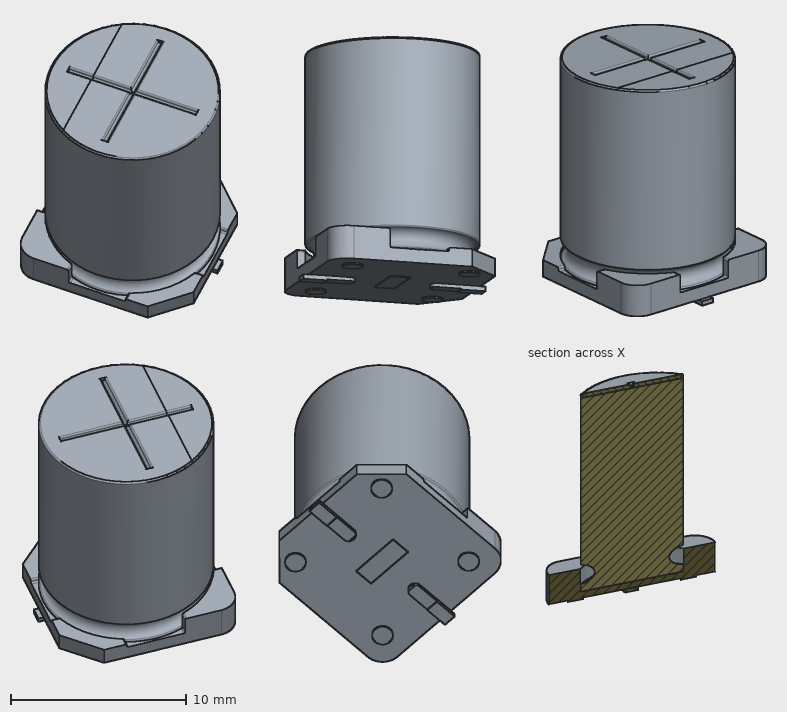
import cadquery as cq
import math

total_height = 13.5
pin_span = 10.9

can_diameter = 10.0
can_radius = can_diameter / 2
edge_radius = 0.1
can_bottom_z = 0.68
neck_z = 1.8
neck_radius = 4.5
neck_arc_radius = 0.62

base_width = 10.3
base_bottom_z = 0.27
base_top_z = 2.19
low_top_z = 1.3
notch_step = 0.23
notch_floor_z = low_top_z - notch_step
notch_width = 3.52
corner_radius = 1.2
corner_chamfer = 2.0

foot_diameter = 1.2
foot_offset = 3.5
foot_height = 0.1
pad_width = 1.2
pad_length = 3.0
pad_height = 0.05

vent_length = 8.0
vent_width = 0.24
vent_depth = 0.22

mark_edge_x = -2.5
mark_thickness = 0.27

pin_width = 0.8
pin_inner_x = 2.25
pin_step_x = 4.02
pin_step_height = 0.05
pin_bevel_length = 0.14
pin_bevel_height = 0.05


def make_half_recess(half_width, floor_z, rim_z, length):
    """Cutter for half of a recess, from y = 0 to its wall, that runs along X from x = 0.

    The floor corner is rounded and the wall rounds outward to the rim.
    """
    r = edge_radius
    mid_arc = r * math.sqrt(0.5)
    profile = (
        cq.Workplane("YZ")
        .moveTo(0, floor_z)
        .lineTo(half_width - r, floor_z)
        .threePointArc((half_width - r + mid_arc, floor_z + r - mid_arc), (half_width, floor_z + r))
        .lineTo(half_width, rim_z - r)
        .threePointArc((half_width + r - mid_arc, rim_z - r + mid_arc), (half_width + r, rim_z))
        .lineTo(0, rim_z)
        .close()
    )
    return profile.extrude(length)


def make_can_blank():
    """Turned can with a waisted neck: a hollow arc blended into the can wall above and below."""
    arc_center_radius = neck_radius + neck_arc_radius
    blend_center_radius = can_radius - edge_radius
    center_distance = neck_arc_radius + edge_radius
    blend_rise = math.sqrt(center_distance**2 - (arc_center_radius - blend_center_radius) ** 2)
    share = neck_arc_radius / center_distance
    tangent_radius = arc_center_radius - (arc_center_radius - blend_center_radius) * share
    tangent_rise = blend_rise * share
    blend_angle = math.atan2(tangent_rise - blend_rise, tangent_radius - blend_center_radius) / 2
    blend_mid_radius = blend_center_radius + edge_radius * math.cos(blend_angle)
    blend_mid_rise = blend_rise + edge_radius * math.sin(blend_angle)
    profile = (
        cq.Workplane("XZ")
        .moveTo(0, can_bottom_z)
        .lineTo(can_radius, can_bottom_z)
        .lineTo(can_radius, neck_z - blend_rise)
        .threePointArc((blend_mid_radius, neck_z - blend_mid_rise), (tangent_radius, neck_z - tangent_rise))
        .threePointArc((neck_radius, neck_z), (tangent_radius, neck_z + tangent_rise))
        .threePointArc((blend_mid_radius, neck_z + blend_mid_rise), (can_radius, neck_z + blend_rise))
        .lineTo(can_radius, total_height)
        .lineTo(0, total_height)
        .close()
    )
    can = profile.revolve(360, (0, 0, 0), (0, 1, 0))
    return can.faces(">Z").edges().fillet(edge_radius)


def make_vents():
    """Two crossed grooves with rounded floors and rims."""
    half = make_half_recess(vent_width / 2, total_height - vent_depth, total_height, vent_length)
    groove = half.union(half.mirror("XZ")).translate((-vent_length / 2, 0, 0))
    return groove.union(groove.rotate((0, 0, 0), (0, 0, 1), 90))


def make_mark_blank():
    """Circle segment that fills the -X end of the flat top."""
    disc = (
        cq.Workplane("XY", origin=(0, 0, total_height - mark_thickness))
        .circle(can_radius - edge_radius)
        .extrude(mark_thickness)
    )
    mark_side = cq.Workplane("XY", origin=(mark_edge_x - can_radius / 2, 0, total_height)).box(
        can_radius, can_diameter, can_diameter
    )
    return disc.intersect(mark_side)


def make_base_plate():
    plate = (
        cq.Workplane("XY", origin=(0, 0, base_bottom_z))
        .rect(base_width, base_width)
        .extrude(base_top_z - base_bottom_z)
    )
    plate = plate.edges("|Z and <X").fillet(corner_radius)
    return plate.edges("|Z and >X").chamfer(corner_chamfer)


def cut_notches(base):
    """Cut the notch in the middle of each side, one half at a time since the rims differ in height."""
    quarter_turns = 4
    for quarter in range(quarter_turns):
        for side in (1, -1):
            corner_angle = math.radians(90 * quarter + 45 * side)
            rim_z = low_top_z if math.cos(corner_angle) > 0 else base_top_z
            cutter = make_half_recess(notch_width / 2, notch_floor_z, rim_z, base_width / 2)
            if side < 0:
                cutter = cutter.mirror("XZ")
            base = base.cut(cutter.rotate((0, 0, 0), (0, 0, 1), 90 * quarter))
    return base


def make_base_blank():
    """Base with its low +X side, four notches, feet and centre pad."""
    base = make_base_plate()
    low_side = (
        cq.Workplane("XY", origin=(base_width / 2, 0, low_top_z))
        .rect(base_width, base_width)
        .extrude(base_top_z - low_top_z)
    )
    base = cut_notches(base.cut(low_side))

    feet = (
        cq.Workplane("XY", origin=(0, 0, base_bottom_z))
        .rect(2 * foot_offset, 2 * foot_offset, forConstruction=True)
        .vertices()
        .circle(foot_diameter / 2)
        .extrude(-foot_height)
    )
    pad = cq.Workplane("XY", origin=(0, 0, base_bottom_z)).rect(pad_width, pad_length).extrude(-pad_height)
    return base.union(feet).union(pad)


def make_pin(side):
    """Flat pin under the base: side is 1 for the +X pin and -1 for the -X pin."""
    outer_x = pin_span / 2
    pin = (
        cq.Workplane("XY")
        .moveTo(pin_inner_x + pin_width / 2, -pin_width / 2)
        .lineTo(outer_x, -pin_width / 2)
        .lineTo(outer_x, pin_width / 2)
        .lineTo(pin_inner_x + pin_width / 2, pin_width / 2)
        .threePointArc((pin_inner_x, 0), (pin_inner_x + pin_width / 2, -pin_width / 2))
        .close()
        .extrude(base_bottom_z)
    )
    relief = (
        cq.Workplane("XZ")
        .lineTo(pin_step_x, 0)
        .lineTo(pin_step_x, pin_step_height)
        .lineTo(pin_inner_x + pin_bevel_length, pin_step_height)
        .lineTo(pin_inner_x, pin_step_height + pin_bevel_height)
        .lineTo(0, pin_step_height + pin_bevel_height)
        .close()
        .extrude(pin_width, both=True)
    )
    pin = pin.cut(relief)
    return pin if side > 0 else pin.rotate((0, 0, 0), (0, 0, 1), 180)


can_blank = make_can_blank()
vents = make_vents()
mark_blank = make_mark_blank()

can = can_blank.cut(vents).cut(mark_blank)
mark = mark_blank.cut(vents)

bore = cq.Workplane("XY", origin=(0, 0, can_bottom_z)).circle(can_radius).extrude(base_top_z)
base = make_base_blank().cut(bore)
pins = [make_pin(side) for side in (1, -1)]

result = cq.Compound.makeCompound([can.val(), mark.val(), base.val(), *[pin.val() for pin in pins]])